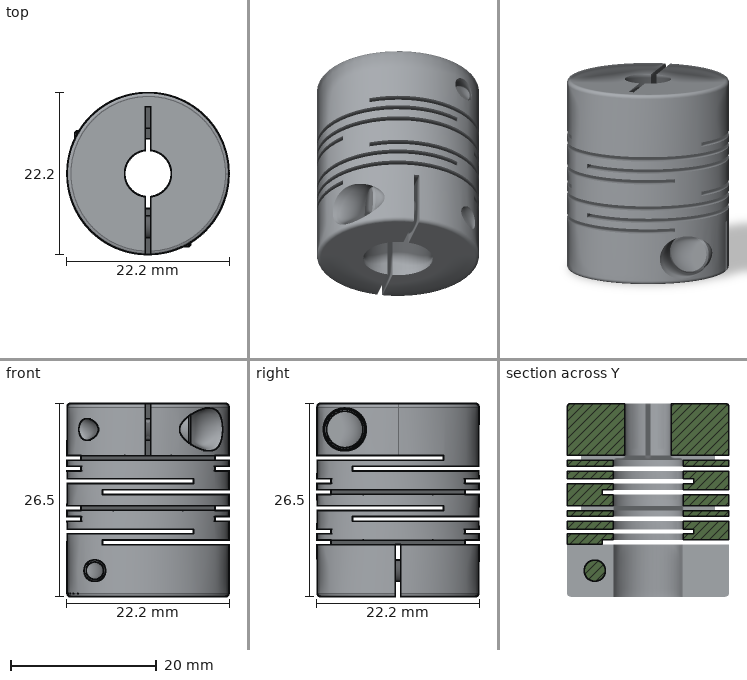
import cadquery as cq

LENGTH = 26.5
BODY_RADIUS = 11.1
RIM_FILLET = 0.5
TOP_BORE_RADIUS = 3.18
LOWER_BORE_RADIUS = 4.77
HUB_HEIGHT = 7.15

SLIT_HEIGHT = 0.6
PAIR_WEB = 0.87
CROSS_WEB = 1.1
BEAM_OFFSET = 6.2
SLIT_PITCHES = (0, SLIT_HEIGHT + PAIR_WEB, SLIT_HEIGHT + CROSS_WEB, SLIT_HEIGHT + PAIR_WEB)
GROUP_HEIGHT = sum(SLIT_PITCHES) + SLIT_HEIGHT

SLOT_WIDTH = 0.75
TOP_SLOT_END = 9.15
SCREW_OFFSET = 7.3
SCREW_RADIUS = 1.48
SCREW_CHAMFER = 0.3
SCREW_TIP = -6.73
HEAD_RADIUS = 2.75
HEAD_CHAMFER = 0.26
HEAD_HEIGHT = 3.0
HEAD_END = 5.83
SEAT = HEAD_END - HEAD_HEIGHT
COUNTERBORE_RADIUS = 2.95

OVERSIZE = 2 * BODY_RADIUS


def block(x_range, y_range, z_range):
    """Box spanning the given ranges."""
    sizes = [high - low for low, high in (x_range, y_range, z_range)]
    corner = (x_range[0], y_range[0], z_range[0])
    return cq.Workplane("XY").box(*sizes, centered=False).translate(corner)


def rod(radius, start, end):
    """Cylinder along X between two positions."""
    return cq.Workplane("YZ").workplane(offset=start).circle(radius).extrude(end - start)


def make_body():
    """Round body with filleted rims and a stepped bore."""
    body = cq.Workplane("XY").circle(BODY_RADIUS).extrude(LENGTH)
    body = body.faces("<Z or >Z").edges().fillet(RIM_FILLET)
    lower_bore = cq.Workplane("XY").circle(LOWER_BORE_RADIUS).extrude(LENGTH - HUB_HEIGHT)
    top_bore = cq.Workplane("XY").circle(TOP_BORE_RADIUS).extrude(LENGTH)
    return body.cut(lower_bore).cut(top_bore)


def cut_slits(body):
    """Cut each group from its top down, leaving beams at +Y, -Y, +X and -X in turn."""
    full = (-OVERSIZE, OVERSIZE)
    below = (-OVERSIZE, BEAM_OFFSET)
    above = (-BEAM_OFFSET, OVERSIZE)
    spans = ((full, below), (full, above), (below, full), (above, full))
    for group_top in (LENGTH - HUB_HEIGHT, HUB_HEIGHT + GROUP_HEIGHT):
        slit_top = group_top
        for pitch, (x_range, y_range) in zip(SLIT_PITCHES, spans):
            slit_top -= pitch
            body = body.cut(block(x_range, y_range, (slit_top - SLIT_HEIGHT, slit_top)))
    return body


def cut_clamp_slots(body):
    """Top slot opens at -Y and ends blind; bottom slot runs right across along X."""
    width = (-SLOT_WIDTH / 2, SLOT_WIDTH / 2)
    top_slot = block(width, (-OVERSIZE, TOP_SLOT_END), (LENGTH - HUB_HEIGHT, LENGTH))
    bottom_slot = block((-OVERSIZE, OVERSIZE), width, (0, HUB_HEIGHT))
    return body.cut(top_slot).cut(bottom_slot)


def screw_hole():
    """Through hole along X with a counterbore open at +X."""
    return rod(SCREW_RADIUS, -OVERSIZE, OVERSIZE).union(rod(COUNTERBORE_RADIUS, SEAT, OVERSIZE))


def clamp_screw():
    """Cap screw along X with its head at +X."""
    shank = rod(SCREW_RADIUS, SCREW_TIP, SEAT).faces("<X").chamfer(SCREW_CHAMFER)
    head = rod(HEAD_RADIUS, SEAT, HEAD_END).faces(">X").chamfer(HEAD_CHAMFER)
    return shank.union(head)


def place_in_top_hub(shape):
    """Move a shape from the X axis to the -Y side of the top hub."""
    return shape.translate((0, -SCREW_OFFSET, LENGTH - HUB_HEIGHT / 2))


def place_in_bottom_hub(shape):
    """Turn a shape from +X to +Y and move it to the -X side of the bottom hub."""
    turned = shape.rotate((0, 0, 0), (0, 0, 1), 90)
    return turned.translate((-SCREW_OFFSET, 0, HUB_HEIGHT / 2))


result = cut_clamp_slots(cut_slits(make_body()))
for place in (place_in_top_hub, place_in_bottom_hub):
    result = result.cut(place(screw_hole())).union(place(clamp_screw()))